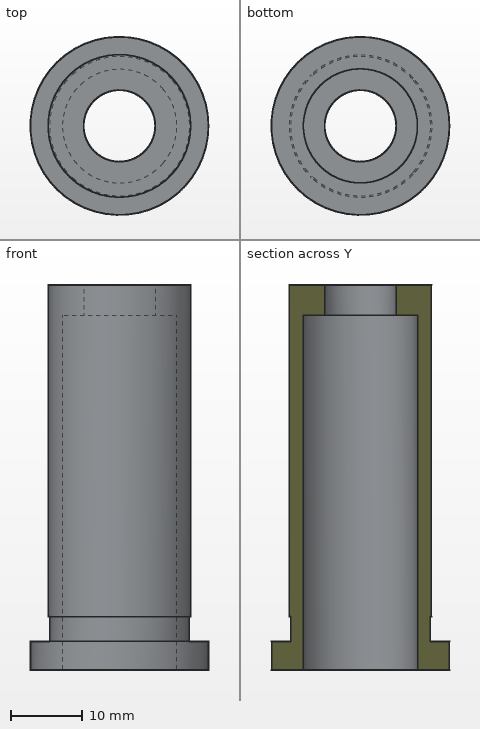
import cadquery as cq

total_height = 54.0

flange_diameter = 25.0
flange_thickness = 4.0

body_diameter = 20.0
relief_diameter = 19.6
relief_height = 3.5

mouth_diameter = 10.0
mouth_depth = 4.3
wide_bore_diameter = 16.0


def cylinder(diameter, bottom, top):
    """Cylinder about the Z axis between two heights."""
    return cq.Workplane("XY").workplane(offset=bottom).circle(diameter / 2).extrude(top - bottom)


def outer_body():
    """Flange, relief and sleeve stacked along Z."""
    relief_top = flange_thickness + relief_height
    flange = cylinder(flange_diameter, 0, flange_thickness)
    relief = cylinder(relief_diameter, flange_thickness, relief_top)
    sleeve = cylinder(body_diameter, relief_top, total_height)
    return flange.union(relief).union(sleeve)


def stepped_bore():
    """Material removed by the wide bore and the narrow mouth."""
    mouth_bottom = total_height - mouth_depth
    wide_bore = cylinder(wide_bore_diameter, 0, mouth_bottom)
    mouth = cylinder(mouth_diameter, mouth_bottom, total_height)
    return wide_bore.union(mouth)


result = outer_body().cut(stepped_bore())